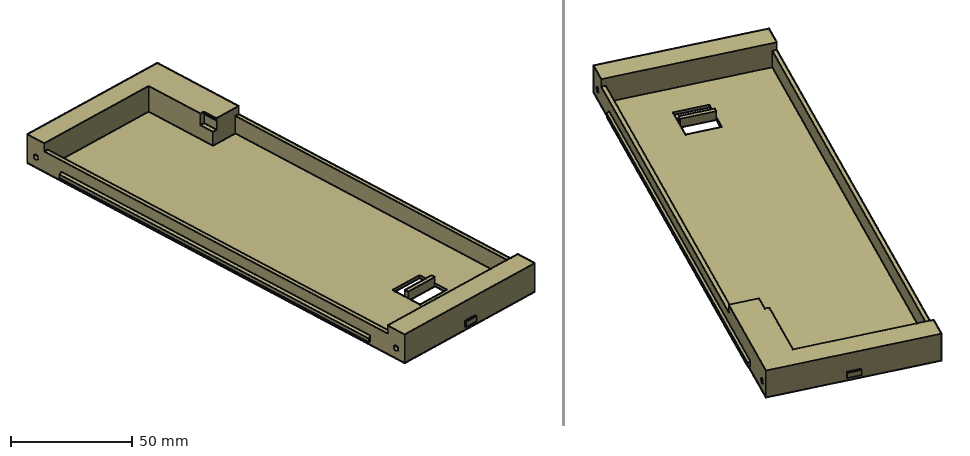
import cadquery as cq

overall_length = 220
overall_width = 78.8
height = 14.0
tab_projection = 0.9
rail_projection = 1.0
body_length = overall_length - 2 * tab_projection
body_width = overall_width - 2 * rail_projection

floor_thickness = 1.5
side_wall = 2.0
end_wall = 10.0
side_wall_height = 10.1
cavity_length = body_length - 2 * end_wall
cavity_width = body_width - 2 * side_wall

block_length = 47.0
block_width = 15.2
notch_length = 7.3
notch_width = 2.0
notch_depth = 5.7
lip_thickness = 1.0
undercut = 0.2

rail_length = 178.7
rail_height = 2.6
rail_bottom = 2.0
rail_slope = 0.9

tab_width = 6.2
tab_height = 2.6
tab_bottom = 2.0

pin_diameter = 2.5
pin_depth = 2.2
pin_inset = 5.0
pin_height = 5.0

window_size = 15.8
window_x = 76.0
window_y = 4.5
rib_thickness = 2.0
rib_height = 4.6


def box(length, width, tall, x, y, z):
    """Box centred on (x, y) with its underside at z."""
    return cq.Workplane("XY").box(length, width, tall, centered=(True, True, False)).translate((x, y, z))


def snap_rail():
    """Rail along X on the -Y face, with a flat underside and a sloped upper face."""
    profile = [
        (0, rail_bottom),
        (-rail_projection, rail_bottom),
        (-rail_projection, rail_bottom + rail_height - rail_slope),
        (0, rail_bottom + rail_height),
    ]
    rail = cq.Workplane("YZ").polyline(profile).close().extrude(rail_length / 2, both=True)
    return rail.translate((0, -body_width / 2, 0))


def tray_body():
    tray = box(body_length, body_width, height, 0, 0, 0)
    tray = tray.cut(box(cavity_length, cavity_width, height, 0, 0, floor_thickness))
    return tray.cut(box(cavity_length, body_width, height, 0, 0, side_wall_height))


def corner_block():
    block_right = block_length - body_length / 2
    block_front = body_width / 2 - block_width
    block = box(
        block_length, block_width, height,
        block_right - block_length / 2, block_front + block_width / 2, 0,
    )
    notch = box(
        notch_length, notch_width, notch_depth,
        block_right - notch_length / 2, block_front + notch_width / 2, height - notch_depth,
    )
    pocket = box(
        notch_length, undercut, notch_depth - lip_thickness,
        block_right - notch_length / 2, block_front + notch_width + undercut / 2, height - notch_depth,
    )
    return block.cut(notch).cut(pocket)


result = tray_body().union(corner_block())

result = result.union(snap_rail()).union(snap_rail().rotate((0, 0, 0), (0, 0, 1), 180))

end_tabs = box(overall_length, tab_width, tab_height, 0, 0, tab_bottom)
end_tabs = end_tabs.cut(box(cavity_length, tab_width, height, 0, 0, floor_thickness))
result = result.union(end_tabs)

pin_x = body_length / 2 - pin_inset
for side in (-1, 1):
    for x in (-pin_x, pin_x):
        pin_hole = cq.Workplane("XZ").circle(pin_diameter / 2).extrude(side * pin_depth)
        result = result.cut(pin_hole.translate((x, side * body_width / 2, pin_height)))

result = result.cut(box(window_size, window_size, height, window_x, window_y, 0))
result = result.union(box(rib_thickness, window_size, rib_height, window_x, window_y, 0))